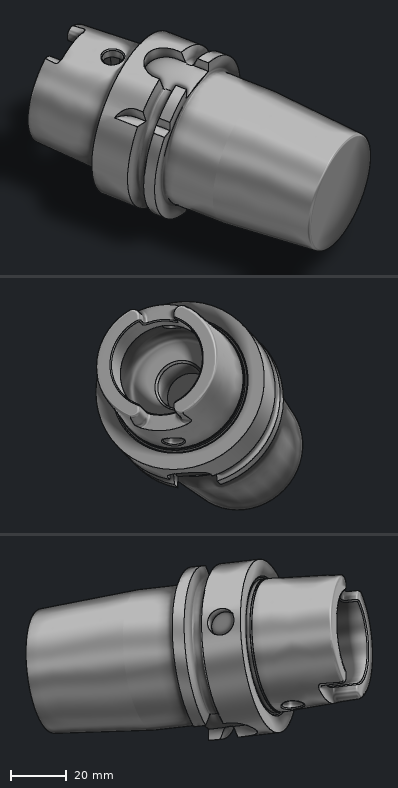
import cadquery as cq
import math


total_length = 117.0
taper_end_x = 30.1
relief_end_x = 30.8
flange_start_x = 31.8
flange_end_x = 57.8
shank_taper_x = 78.6

nose_radius = 22.7
taper_end_radius = 24.2
relief_radius = 24.0
neck_radius = 24.2
flange_radius = 31.5
shank_radius = 25.5
shank_tip_radius = 22.6
nose_rounding = 1.2
tip_rounding = 0.9
shank_root_rounding = 1.2

recess_outer_radius = 25.4
recess_depth = 0.5

groove_center_x = 50.0
groove_top_width = 6.7
groove_floor_width = 3.2
groove_floor_radius = 27.3
groove_rounding = 1.0

bore_radius = 17.0
bore_chamfer = 0.5
shoulder_start_x = 12.5
shoulder_angle = 60
cavity_radius = 20.0
cavity_end_x = flange_start_x
cavity_floor_rounding = 4.2
center_hole_radius = 8.5
center_hole_depth = 14.0
center_hole_chamfer = 0.8

drive_slot_half_width = 6.2
drive_slot_flare_radius = 2.9
drive_slot_land_height = 20.5
drive_slot_corner_radius = 1.5
upper_drive_slot_depth = 6.3
lower_drive_slot_depth = 10.0
drive_slot_overcut = 3.5

access_hole_x = 22.8
access_hole_radius = 3.9
access_hole_chamfer = 0.5

cutter_radius = 8.0
keyway_center_x = 44.8
keyway_floor_height = 26.2
notch_center_x = 44.1
notch_inset = 20.1

chip_x = 39.3
chip_radius = 5.0
chip_depth = 4.5

clearance = 1.2

margin = 0.1


def edges_inside(low_x, high_x, low_z, high_z, half_y):
    """Selector for the edges that lie wholly inside a box centered on Y = 0."""
    low_corner = (low_x - margin, -half_y - margin, low_z - margin)
    high_corner = (high_x + margin, half_y + margin, high_z + margin)
    return cq.selectors.BoxSelector(low_corner, high_corner, boundingbox=True)


def make_body():
    """Outer shape, turned about the X axis."""
    recess_wall_radius = recess_outer_radius - recess_depth
    outline = (
        cq.Workplane("XY")
        .lineTo(0, nose_radius)
        .lineTo(taper_end_x, taper_end_radius)
        .lineTo(taper_end_x, relief_radius)
        .lineTo(relief_end_x, relief_radius)
        .lineTo(relief_end_x, neck_radius)
        .lineTo(flange_start_x + recess_depth, neck_radius)
        .lineTo(flange_start_x + recess_depth, recess_wall_radius)
        .lineTo(flange_start_x, recess_outer_radius)
        .lineTo(flange_start_x, flange_radius)
        .lineTo(flange_end_x, flange_radius)
        .lineTo(flange_end_x, shank_radius)
        .lineTo(shank_taper_x, shank_radius)
        .lineTo(total_length, shank_tip_radius)
        .lineTo(total_length, 0)
        .close()
    )
    body = outline.revolve(360, (0, 0, 0), (1, 0, 0))
    body = body.faces(">X").edges().fillet(tip_rounding)
    root = edges_inside(flange_end_x, flange_end_x, -shank_radius, shank_radius, shank_radius)
    return body.edges(root).fillet(shank_root_rounding)


def make_gripper_groove():
    """V-shaped ring with a rounded flat floor."""
    half_top = groove_top_width / 2
    half_floor = groove_floor_width / 2
    outer_radius = flange_radius + clearance
    blank = (
        cq.Workplane("XY")
        .moveTo(groove_center_x - half_top, outer_radius)
        .lineTo(groove_center_x - half_top, flange_radius)
        .lineTo(groove_center_x - half_floor, groove_floor_radius)
        .lineTo(groove_center_x + half_floor, groove_floor_radius)
        .lineTo(groove_center_x + half_top, flange_radius)
        .lineTo(groove_center_x + half_top, outer_radius)
        .close()
        .revolve(360, (0, 0, 0), (1, 0, 0))
    )
    floor_edges = cq.selectors.RadiusNthSelector(0)
    return blank.edges("%CIRCLE").edges(floor_edges).fillet(groove_rounding)


def make_bore():
    """Bore, clamping shoulder, cavity with a rounded floor, and the blind hole beyond it."""
    shoulder_length = (cavity_radius - bore_radius) / math.tan(math.radians(shoulder_angle))
    hole_end_x = cavity_end_x + center_hole_depth
    cavity = (
        cq.Workplane("XY")
        .lineTo(0, bore_radius)
        .lineTo(shoulder_start_x, bore_radius)
        .lineTo(shoulder_start_x + shoulder_length, cavity_radius)
        .lineTo(cavity_end_x, cavity_radius)
        .lineTo(cavity_end_x, 0)
        .close()
        .revolve(360, (0, 0, 0), (1, 0, 0))
        .faces(">X")
        .edges()
        .fillet(cavity_floor_rounding)
    )
    hole = (
        cq.Workplane("XY")
        .lineTo(0, center_hole_radius + center_hole_chamfer)
        .lineTo(cavity_end_x, center_hole_radius + center_hole_chamfer)
        .lineTo(cavity_end_x + center_hole_chamfer, center_hole_radius)
        .lineTo(hole_end_x, center_hole_radius)
        .lineTo(hole_end_x, 0)
        .close()
        .revolve(360, (0, 0, 0), (1, 0, 0))
    )
    return cavity.union(hole)


def make_drive_slot(depth, side):
    """Slot across the nose wall on the +Z (side = 1) or -Z (side = -1) side.

    Its walls curve outward into flat lands near the outer surface.
    """
    slot_bottom = bore_radius - drive_slot_overcut
    flare_start = drive_slot_land_height - drive_slot_flare_radius
    flare_end = drive_slot_half_width + drive_slot_flare_radius
    half_arc = math.radians(45)
    flare_mid_y = flare_end - drive_slot_flare_radius * math.cos(half_arc)
    flare_mid_z = flare_start + drive_slot_flare_radius * math.sin(half_arc)
    outer_width = flare_end + drive_slot_overcut
    top = nose_radius + drive_slot_overcut
    slot = (
        cq.Workplane("YZ", origin=(-clearance, 0, 0))
        .moveTo(-drive_slot_half_width, slot_bottom)
        .lineTo(-drive_slot_half_width, flare_start)
        .threePointArc((-flare_mid_y, flare_mid_z), (-flare_end, drive_slot_land_height))
        .lineTo(-outer_width, drive_slot_land_height)
        .lineTo(-outer_width, top)
        .lineTo(outer_width, top)
        .lineTo(outer_width, drive_slot_land_height)
        .lineTo(flare_end, drive_slot_land_height)
        .threePointArc((flare_mid_y, flare_mid_z), (drive_slot_half_width, flare_start))
        .lineTo(drive_slot_half_width, slot_bottom)
        .close()
        .extrude(depth + clearance)
    )
    slot = slot.faces(">X").edges("not(>Z or <Z or >Y or <Y)").fillet(drive_slot_corner_radius)
    if side < 0:
        slot = slot.rotate((0, 0, 0), (1, 0, 0), 180)
    return slot


def cut_access_hole(body):
    """Straight radial hole through the taper, with a chamfered mouth on each side."""
    hole = (
        cq.Workplane("XY", origin=(access_hole_x, 0, -flange_radius))
        .circle(access_hole_radius)
        .extrude(2 * flange_radius)
    )
    body = body.cut(hole)
    low_x = access_hole_x - access_hole_radius
    high_x = access_hole_x + access_hole_radius
    for low_z, high_z in ((nose_radius, flange_radius), (-flange_radius, -nose_radius)):
        mouth = edges_inside(low_x, high_x, low_z, high_z, access_hole_radius)
        body = body.edges(mouth).chamfer(access_hole_chamfer)
    return body


def make_round_ended_cut(center_x, center_y, floor_height):
    """Upward cut from a round end out past the rear of the flange."""
    height = flange_radius + clearance - floor_height
    length = flange_end_x - center_x
    base = cq.Workplane("XY", origin=(center_x, center_y, floor_height))
    round_end = base.circle(cutter_radius).extrude(height)
    straight = base.rect(length, 2 * cutter_radius).extrude(height).translate((length / 2, 0, 0))
    return round_end.union(straight)


def make_chip_pocket():
    """Blind round pocket in the +Y side of the flange."""
    return (
        cq.Workplane("XZ", origin=(chip_x, flange_radius - chip_depth, 0))
        .circle(chip_radius)
        .extrude(-chip_depth - clearance)
    )


result = make_body()
result = result.cut(make_drive_slot(upper_drive_slot_depth, 1))
result = result.cut(make_drive_slot(lower_drive_slot_depth, -1))
result = result.faces("<X").edges().fillet(nose_rounding)

result = result.cut(make_bore())
bore_rim = edges_inside(0, lower_drive_slot_depth, -bore_radius, bore_radius, bore_radius)
result = result.edges(bore_rim).chamfer(bore_chamfer)
result = cut_access_hole(result)

result = result.cut(make_gripper_groove())
result = result.cut(make_chip_pocket())
result = result.cut(make_round_ended_cut(notch_center_x, -notch_inset - cutter_radius, notch_inset))
keyway = make_round_ended_cut(keyway_center_x, 0, keyway_floor_height)
for cutter in (keyway, keyway.mirror("XY")):
    result = result.cut(cutter)

result = cq.Workplane(result.solids().val())